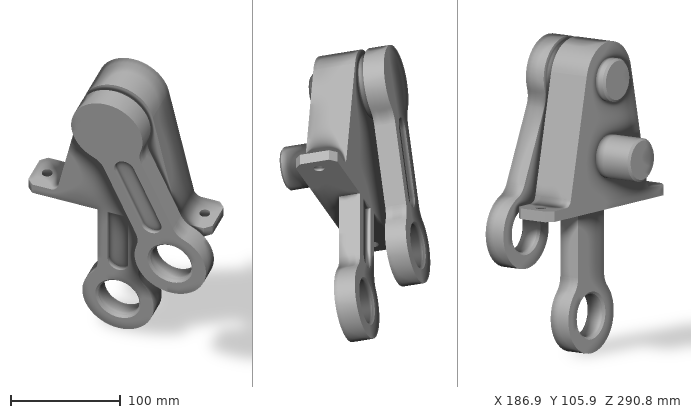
import cadquery as cq
import math


TOTAL_HEIGHT = 290.8

PIVOT_SPACING = 71.0
SWING_ANGLE = 24.4

EYE_RADIUS = 35.0
LINK_LENGTH = TOTAL_HEIGHT - 2 * EYE_RADIUS - PIVOT_SPACING
LINK_THICKNESS = 20.0
NECK_WIDTH = 40.0
NECK_FILLET = 20.0
BORE_DIAMETER = 40.0
BORE_CHAMFER = 2.0
SLOT_DROP = 73.5
SLOT_WIDTH = 20.0
SLOT_LENGTH = 83.0
SLOT_DEPTH = 5.0
SHAFT_DIAMETER = 40.0
SHAFT_LENGTH = 58.0
SHAFT_CHAMFER = 2.0
BOSS_DIAMETER = 60.0
BOSS_HEIGHT = 7.9
BOSS_CHAMFER = 2.0
BOSS_FILLET = 1.5

FRAME_DEPTH = 40.0
BASE_LENGTH = 180.0
BASE_THICKNESS = 10.0
BASE_DROP = 119.8
BASE_CORNER = 6.0
TOWER_FOOT = 60.0
TOWER_FILLET = 7.9
HOLE_DIAMETER = 10.0
HOLE_SPACING = 154.0

PICK_MARGIN = 1.5


def cylinder(radius, length, y, z):
    """A cylinder along +Y that starts at the given Y."""
    return cq.Workplane("XZ", origin=(0, y, z)).circle(radius).extrude(-length)


def box_around(half_width, depth, bottom, height):
    """A selector of edges inside a box, grown by a margin, that is centred on X = 0 and starts at Y = 0."""
    low = (-half_width - PICK_MARGIN, -PICK_MARGIN, bottom - PICK_MARGIN)
    high = (half_width + PICK_MARGIN, depth + PICK_MARGIN, bottom + height + PICK_MARGIN)
    return cq.selectors.BoxSelector(low, high, boundingbox=True)


def link_plate():
    """The plate of a link, hanging from its pivot at the origin, with its front face in Y = 0."""
    half_neck = NECK_WIDTH / 2
    centre_distance = EYE_RADIUS + NECK_FILLET
    centre_x = half_neck + NECK_FILLET
    centre_drop = math.sqrt(centre_distance**2 - centre_x**2)
    eye_x = centre_x * EYE_RADIUS / centre_distance
    eye_drop = centre_drop * EYE_RADIUS / centre_distance
    middle_angle = math.atan2(centre_drop, centre_x) / 2
    middle_x = centre_x - NECK_FILLET * math.cos(middle_angle)
    middle_drop = centre_drop - NECK_FILLET * math.sin(middle_angle)
    return (
        cq.Workplane("XZ")
        .moveTo(eye_x, -eye_drop)
        .threePointArc((0, EYE_RADIUS), (-eye_x, -eye_drop))
        .threePointArc((-middle_x, -middle_drop), (-half_neck, -centre_drop))
        .lineTo(-half_neck, centre_drop - LINK_LENGTH)
        .threePointArc((-middle_x, middle_drop - LINK_LENGTH), (-eye_x, eye_drop - LINK_LENGTH))
        .threePointArc((0, -LINK_LENGTH - EYE_RADIUS), (eye_x, eye_drop - LINK_LENGTH))
        .threePointArc((middle_x, middle_drop - LINK_LENGTH), (half_neck, centre_drop - LINK_LENGTH))
        .lineTo(half_neck, -centre_drop)
        .threePointArc((middle_x, -middle_drop), (eye_x, -eye_drop))
        .close()
        .extrude(-LINK_THICKNESS)
    )


def make_blank_link():
    """A link without its slot, hanging from its pivot at the origin, with its front face in Y = 0."""
    boss = (
        cylinder(BOSS_DIAMETER / 2, BOSS_HEIGHT, LINK_THICKNESS, 0)
        .faces(">Y")
        .chamfer(BOSS_CHAMFER)
    )
    shaft = (
        cylinder(SHAFT_DIAMETER / 2, SHAFT_LENGTH, LINK_THICKNESS, 0)
        .faces(">Y")
        .chamfer(SHAFT_CHAMFER)
    )
    bore = cylinder(BORE_DIAMETER / 2, LINK_THICKNESS, 0, -LINK_LENGTH)
    bore_rims = box_around(BORE_DIAMETER / 2, LINK_THICKNESS, -LINK_LENGTH - BORE_DIAMETER / 2, BORE_DIAMETER)
    plate = link_plate().cut(bore).edges(bore_rims).edges("%CIRCLE").chamfer(BORE_CHAMFER)
    boss_root = cq.selectors.NearestToPointSelector((0, LINK_THICKNESS, 0))
    return plate.union(boss).edges(boss_root).fillet(BOSS_FILLET).union(shaft)


def make_slot():
    """The space of the blind slot in the front face of a link."""
    return (
        cq.Workplane("XZ", origin=(0, 0, -SLOT_DROP))
        .slot2D(SLOT_LENGTH, SLOT_WIDTH, 90)
        .extrude(-SLOT_DEPTH)
    )


def make_link():
    """A link with its slot, boss and shaft, hanging from its pivot at the origin."""
    return make_blank_link().cut(make_slot())


def make_frame():
    """A tower on a flat base, with a hole for the upper shaft and a recess for the lower link."""
    base_top = BASE_THICKNESS - BASE_DROP
    foot_distance = math.hypot(TOWER_FOOT, base_top)
    flank_angle = math.atan2(base_top, TOWER_FOOT) + math.acos(EYE_RADIUS / foot_distance)
    touch_x = EYE_RADIUS * math.cos(flank_angle)
    touch_z = EYE_RADIUS * math.sin(flank_angle)
    tower = (
        cq.Workplane("XZ")
        .moveTo(TOWER_FOOT, base_top)
        .lineTo(touch_x, touch_z)
        .threePointArc((0, EYE_RADIUS), (-touch_x, touch_z))
        .lineTo(-TOWER_FOOT, base_top)
        .close()
        .extrude(-FRAME_DEPTH)
    )
    base = (
        cq.Workplane("XY", origin=(0, FRAME_DEPTH / 2, -BASE_DROP))
        .rect(BASE_LENGTH, FRAME_DEPTH)
        .extrude(BASE_THICKNESS)
        .edges("|Z")
        .chamfer(BASE_CORNER)
        .faces(">Z")
        .workplane()
        .rarray(HOLE_SPACING, 3, 2, 1)
        .hole(HOLE_DIAMETER)
    )
    foot = box_around(TOWER_FOOT, FRAME_DEPTH, base_top, 0)
    frame = base.union(tower).edges(foot).edges("|Y").fillet(TOWER_FILLET)
    lower_recess = make_blank_link().translate((0, 0, -PIVOT_SPACING))
    upper_hole = cylinder(SHAFT_DIAMETER / 2, FRAME_DEPTH, 0, 0)
    return frame.cut(lower_recess).cut(upper_hole)


def make_slot_filler():
    """The insert that fills the lower link's slot, flush with the front and underside of the frame."""
    above_base = cq.Workplane("XY", origin=(0, 0, -BASE_DROP)).box(
        2 * SLOT_WIDTH, 4 * SLOT_DEPTH, SLOT_LENGTH, centered=(True, True, False)
    )
    return make_slot().translate((0, 0, -PIVOT_SPACING)).intersect(above_base)


frame = make_frame()
lower_link = make_link().translate((0, 0, -PIVOT_SPACING))
slot_filler = make_slot_filler()
upper_link = (
    make_link()
    .rotate((0, 0, 0), (0, 1, 0), -SWING_ANGLE)
    .translate((0, -BOSS_HEIGHT - LINK_THICKNESS, 0))
)
result = cq.Compound.makeCompound(
    [frame.val(), lower_link.val(), slot_filler.val(), upper_link.val()]
)